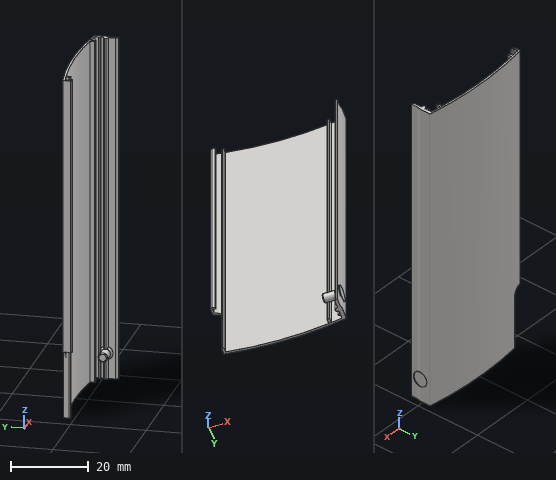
import cadquery as cq

WIDTH = 36.3
DEPTH = 8.0
LENGTH = 93.0

SKIN = 0.65
CROWN_X = 17.7
LEFT_DROP = 1.5
RIGHT_DROP = 1.5

HOOK_WALL = 0.6
HOOK_REACH = 1.4
HOOK_BOTTOM = 3.8
HOOK_CHAMFER_HEIGHT = 0.3
HOOK_FILLET = 0.5

RIB_WIDTH = 0.7
RIB_CHAMFER = 0.3
RIB_LEFT_EDGES = (2.8, 31.4)
RIB_BOTTOM = 2.9

FLANGE = 1.1
FLANGE_INNER = WIDTH - FLANGE
FLANGE_FILLET = 0.3
TAPER_START = 4.8
TAPER_END = 5.95
TIP_LEFT = 35.6
TIP_RIGHT = 36.0
TIP_CHAMFER_START = 7.35

BEAD_REACH = 0.6
BEAD_TOP = 3.0
BEAD_BOTTOM = 3.4
RIDGE_REACH = 0.8
RIDGE_TOP = 4.1
RIDGE_PEAK_TOP = 4.6
RIDGE_PEAK_BOTTOM = 5.0
RIDGE_BOTTOM = 5.5

NOTCH_HEIGHT = 18.9
NOTCH_FILLET = 2.4
NOTCH_RIGHT = RIB_LEFT_EDGES[0]

PIN_DIAMETER = 2.5
HEAD_DIAMETER = 4.5
PIN_DROP = 4.8
PIN_HEIGHT = 7.0
PIN_END_X = 31.2
PIN_CHAMFER = 0.3
CONE_START_X = 34.6
CONE_END_X = CONE_START_X + (HEAD_DIAMETER - PIN_DIAMETER) / 2


def extruded(sketch):
    """Extrude a closed XY outline over the full length."""
    return sketch.close().extrude(LENGTH)


def make_skin():
    """Curved sheet of nearly constant thickness."""
    return extruded(
        cq.Workplane("XY")
        .moveTo(0, -LEFT_DROP)
        .threePointArc((CROWN_X, 0), (WIDTH, -RIGHT_DROP))
        .lineTo(WIDTH, -RIGHT_DROP - SKIN)
        .threePointArc((CROWN_X, -SKIN), (0, -LEFT_DROP - SKIN))
    )


def make_hook():
    """L-shaped clip hanging from the left edge."""
    return extruded(
        cq.Workplane("XY")
        .moveTo(0, -LEFT_DROP)
        .lineTo(0, HOOK_CHAMFER_HEIGHT - HOOK_BOTTOM)
        .lineTo(HOOK_WALL, -HOOK_BOTTOM)
        .lineTo(HOOK_REACH, -HOOK_BOTTOM)
        .lineTo(HOOK_REACH, HOOK_WALL - HOOK_BOTTOM)
        .lineTo(HOOK_WALL, HOOK_WALL - HOOK_BOTTOM)
        .lineTo(HOOK_WALL, -LEFT_DROP - SKIN / 2)
    )


def make_rib(left):
    """Straight rib that starts inside the skin."""
    root = -LEFT_DROP
    return extruded(
        cq.Workplane("XY")
        .moveTo(left, root)
        .lineTo(left, RIB_CHAMFER - RIB_BOTTOM)
        .lineTo(left + RIB_CHAMFER, -RIB_BOTTOM)
        .lineTo(left + RIB_WIDTH, -RIB_BOTTOM)
        .lineTo(left + RIB_WIDTH, root)
    )


def make_flange():
    """Right flange with a bead, a pointed ridge and a tapered tip."""
    return extruded(
        cq.Workplane("XY")
        .moveTo(WIDTH, -RIGHT_DROP)
        .lineTo(WIDTH, -TAPER_START)
        .lineTo(TIP_RIGHT, -TAPER_END)
        .lineTo(TIP_RIGHT, -DEPTH)
        .lineTo(TIP_LEFT, -DEPTH)
        .lineTo(FLANGE_INNER, -TIP_CHAMFER_START)
        .lineTo(FLANGE_INNER, -RIDGE_BOTTOM)
        .lineTo(FLANGE_INNER - RIDGE_REACH, -RIDGE_PEAK_BOTTOM)
        .lineTo(FLANGE_INNER - RIDGE_REACH, -RIDGE_PEAK_TOP)
        .lineTo(FLANGE_INNER, -RIDGE_TOP)
        .lineTo(FLANGE_INNER, -BEAD_BOTTOM)
        .lineTo(FLANGE_INNER - BEAD_REACH, -BEAD_BOTTOM)
        .lineTo(FLANGE_INNER - BEAD_REACH, -BEAD_TOP)
        .lineTo(FLANGE_INNER, -BEAD_TOP)
        .lineTo(FLANGE_INNER, -RIGHT_DROP - SKIN / 2)
    )


def round_long_edge(body, x, y, radius):
    """Round the lengthwise edge that passes through (x, y)."""
    edge = cq.selectors.NearestToPointSelector((x, y, LENGTH / 2))
    return body.edges(edge).fillet(radius)


def make_notch():
    """Cutter for the lower left corner, with its inside corner rounded."""
    return (
        cq.Workplane("XZ")
        .rect(NOTCH_RIGHT, NOTCH_HEIGHT, centered=False)
        .extrude(DEPTH)
        .edges("|Y and >X and >Z")
        .fillet(NOTCH_FILLET)
    )


def make_pin():
    """Pin along X with a chamfered free end and a countersunk head."""
    pin_radius = PIN_DIAMETER / 2
    head_radius = HEAD_DIAMETER / 2
    axis_y = -PIN_DROP
    return (
        cq.Workplane("XY", origin=(0, axis_y, PIN_HEIGHT))
        .moveTo(PIN_END_X, 0)
        .lineTo(PIN_END_X, pin_radius - PIN_CHAMFER)
        .lineTo(PIN_END_X + PIN_CHAMFER, pin_radius)
        .lineTo(CONE_START_X, pin_radius)
        .lineTo(CONE_END_X, head_radius)
        .lineTo(WIDTH, head_radius)
        .lineTo(WIDTH, 0)
        .close()
        .revolve(360, (0, 0, 0), (1, 0, 0))
    )


pin = make_pin()

panel = make_skin().union(make_hook()).union(make_flange())
for rib_left in RIB_LEFT_EDGES:
    panel = panel.union(make_rib(rib_left))
panel = round_long_edge(panel, 0, -LEFT_DROP, HOOK_FILLET)
panel = round_long_edge(panel, WIDTH, -RIGHT_DROP, FLANGE_FILLET)
panel = panel.cut(make_notch()).cut(pin)

result = cq.Compound.makeCompound([panel.val(), pin.val()])